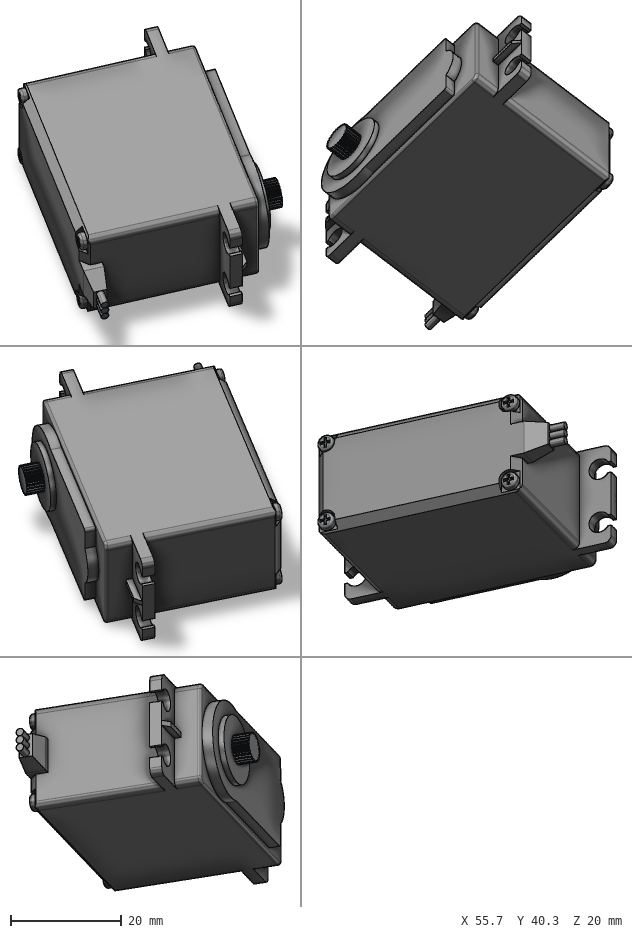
import cadquery as cq
import math


overall_length = 55.7

case_length = 40.8
case_width = 20.0
case_top = 33.7
case_corner_radius = 1.35
case_top_fillet = 0.55
cover_chamfer = 1.6

lug_span = 53.4
lug_base = 26.2
lug_top = 28.5
lug_corner_radius = 1.35
hole_radius = 2.05
hole_x = 24.35
hole_z = 5.45
hole_slot_width = 2.25
rib_height = 1.3
rib_width = 1.0

plate_top = 35.75
plate_left = -14.25
plate_half_width = 8.9
plate_corner_radius = 0.55
nose_left = -16.2
nose_half_width = 4.35
shaft_x = 10.5
shaft_end_radius = 9.3
flange_radius = 6.45
flange_top = 36.9
shaft_radius = 2.8
shaft_root_radius = 2.55
shaft_top = 40.25
spline_teeth = 25

screw_x = 18.4
screw_z = 7.95
pocket_floor = 1.3
pocket_radius = 1.95
head_radius = 1.6
head_fillet = 0.5
cross_length = 1.95
cross_width = 0.5
cross_depth = 0.55

grommet_height = 3.9
grommet_width = 6.6
grommet_inner_x = 18.4
grommet_step_x = 21.45
grommet_end_x = 26.05
grommet_end_height = 2.55
grommet_end_width = 4.45
grommet_axis_y = 1.8
wire_radius = 0.7
wire_pitch = 1.5
wire_count = 3
wire_end_x = overall_length - lug_span / 2


def plane_at(y):
    """Sketch plane facing +Y at height y: local x is X, local y is -Z."""
    return cq.Workplane(cq.Plane(origin=(0, y, 0), xDir=(1, 0, 0), normal=(0, 1, 0)))


def make_case():
    body = plane_at(0).rect(case_length, case_width).extrude(case_top)
    body = body.edges("|Y").fillet(case_corner_radius)
    body = body.faces(">Y").edges().fillet(case_top_fillet)
    envelope = plane_at(0).rect(case_length, case_width).extrude(case_top)
    envelope = envelope.faces("<Y").edges().chamfer(cover_chamfer)
    return body.intersect(envelope)


def make_lugs():
    thickness = lug_top - lug_base
    lugs = plane_at(lug_base).rect(lug_span, case_width).extrude(thickness)
    lugs = lugs.edges("|Y").fillet(lug_corner_radius)
    half_span = lug_span / 2
    slot_length = half_span - hole_x
    for side in (-1, 1):
        for z in (-hole_z, hole_z):
            hole = plane_at(lug_base).center(side * hole_x, z).circle(hole_radius)
            slot = plane_at(lug_base).center(side * (hole_x + slot_length / 2), z)
            slot = slot.rect(slot_length, hole_slot_width)
            lugs = lugs.cut(hole.extrude(thickness)).cut(slot.extrude(thickness))
    return lugs


def make_ribs():
    """Central stiffening rib on each lug, sloping down at 45 degrees to the lug end."""
    half_span = lug_span / 2
    ribs = cq.Workplane("XY").polyline([
        (-half_span, lug_top),
        (half_span, lug_top),
        (half_span - rib_height, lug_top + rib_height),
        (-half_span + rib_height, lug_top + rib_height),
    ]).close()
    return ribs.extrude(rib_width / 2, both=True)


def make_gearbox_plate():
    height = plate_top - case_top
    base = plane_at(case_top)
    plate = base.center((plate_left + shaft_x) / 2, 0)
    plate = plate.rect(shaft_x - plate_left, 2 * plate_half_width).extrude(height)
    plate = plate.edges("|Y and <X").fillet(plate_corner_radius)
    shaft_end = base.center(shaft_x, 0).circle(shaft_end_radius).extrude(height)
    nose = base.moveTo(plate_left, -nose_half_width)
    nose = nose.threePointArc((nose_left, 0), (plate_left, nose_half_width)).close()
    return plate.union(shaft_end).union(nose.extrude(height))


def make_output_shaft():
    flange = plane_at(plate_top).center(shaft_x, 0).circle(flange_radius)
    flange = flange.extrude(flange_top - plate_top)
    quarter_pitch = math.pi / (2 * spline_teeth)
    points = []
    for i in range(4 * spline_teeth):
        angle = i * quarter_pitch
        radius = shaft_radius if i % 4 < 2 else shaft_root_radius
        points.append((radius * math.cos(angle), radius * math.sin(angle)))
    spline = plane_at(flange_top).center(shaft_x, 0).polyline(points).close()
    return flange.union(spline.extrude(shaft_top - flange_top))


def make_screw_pocket(x_side, z_side):
    """Square corner pocket whose inner corner is rounded about the screw axis."""
    inner_x = screw_x - pocket_radius
    inner_z = screw_z - pocket_radius
    length = case_length / 2 - inner_x
    width = case_width / 2 - inner_z
    pocket = cq.Workplane("XY").box(length, pocket_floor, width, centered=False)
    pocket = pocket.edges("|Y and <X and <Z").fillet(pocket_radius)
    pocket = pocket.translate((inner_x, 0, inner_z))
    if x_side < 0:
        pocket = pocket.mirror("YZ")
    if z_side < 0:
        pocket = pocket.mirror("XY")
    return pocket


def make_screw_head(x, z):
    head = plane_at(0).circle(head_radius).extrude(pocket_floor)
    head = head.faces("<Y").edges().fillet(head_fillet)
    cross = plane_at(0).rect(cross_length, cross_width).extrude(cross_depth)
    cross = cross.union(plane_at(0).rect(cross_width, cross_length).extrude(cross_depth))
    return head.cut(cross).translate((x, 0, z))


def make_cable():
    base_length = grommet_step_x - grommet_inner_x
    base = cq.Workplane("XY", origin=(grommet_inner_x, 0, 0))
    base = base.box(base_length, grommet_height, grommet_width, centered=(False, False, True))
    step = cq.Workplane("YZ", origin=(grommet_step_x, 0, 0))
    taper = step.center(grommet_height / 2, 0).rect(grommet_height, grommet_width)
    taper = taper.workplane(offset=grommet_end_x - grommet_step_x)
    taper = taper.center(grommet_axis_y - grommet_height / 2, 0)
    taper = taper.rect(grommet_end_height, grommet_end_width).loft()
    cable = base.union(taper)
    end = cq.Workplane("YZ", origin=(grommet_end_x, 0, 0))
    for i in range(wire_count):
        z = (i - (wire_count - 1) / 2) * wire_pitch
        wire = end.center(grommet_axis_y, z).circle(wire_radius)
        cable = cable.union(wire.extrude(wire_end_x - grommet_end_x))
    return cable


result = make_case().union(make_lugs()).union(make_ribs())
result = result.union(make_gearbox_plate()).union(make_output_shaft())
for x_side in (-1, 1):
    for z_side in (-1, 1):
        result = result.cut(make_screw_pocket(x_side, z_side))
        result = result.union(make_screw_head(x_side * screw_x, z_side * screw_z))
result = result.union(make_cable())